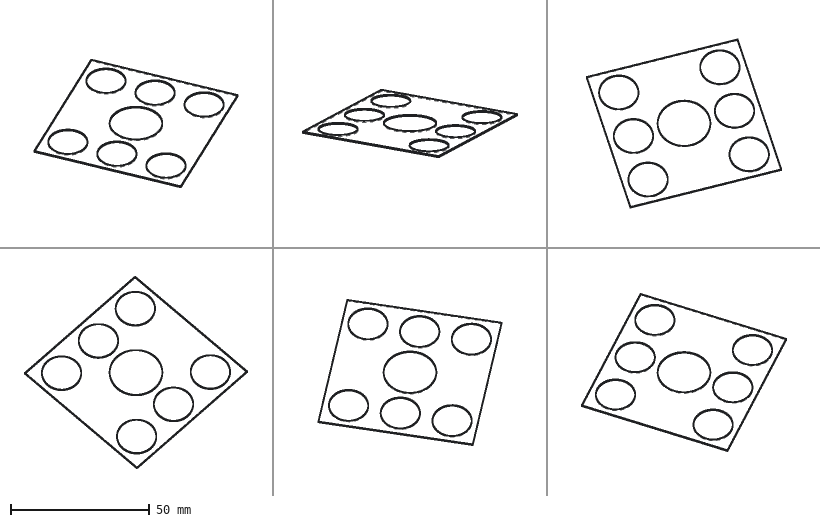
import cadquery as cq

side = 56.9
thickness = 0.5

center_hole_diameter = 19.05
outer_hole_diameter = 14.2
hole_pitch = 19.05

plate = cq.Workplane("XY").box(side, side, thickness, centered=(True, True, False))

row_hole_centers = [
    (column * hole_pitch, row * hole_pitch)
    for row in (-1, 1)
    for column in (-1, 0, 1)
]

base_plane = cq.Workplane("XY")
center_hole = base_plane.circle(center_hole_diameter / 2).extrude(thickness)
row_holes = base_plane.pushPoints(row_hole_centers).circle(outer_hole_diameter / 2).extrude(thickness)

result = plate.cut(center_hole).cut(row_holes)